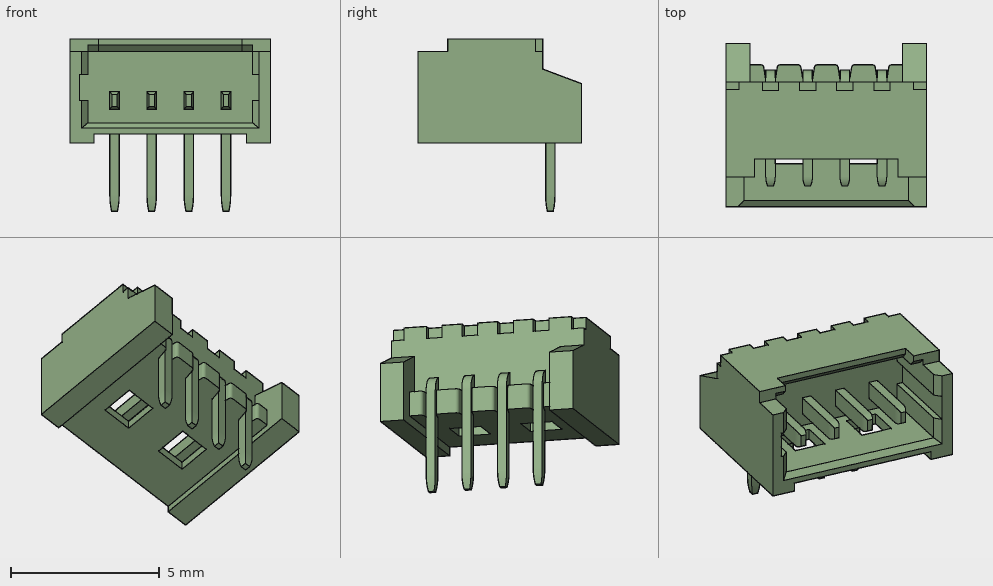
import cadquery as cq


WIDTH = 6.75
DEPTH = 5.5
HEIGHT = 3.5
HALF_WIDTH = WIDTH / 2
ROOF_FRONT_Y = 1.0
ROOF_BACK_Y = 4.2
ROOF_UNDERSIDE_Z = 3.08
WING_TOP_FRONT_Z = 2.49
WING_TOP_BACK_Z = 2.0
WING_INNER_X = 2.56
STANDOFF = 0.3

CAVITY_HALF_WIDTH = 2.77
CAVITY_BACK_Y = 2.98
CAVITY_FLOOR_Z = 0.68
LEAD_IN_SIDE = 0.21
LEAD_IN_FLOOR = 0.18
LEAD_IN_ROOF = 0.21
WINDOW_HALF_WIDTH = 2.41
WINDOW_BACK_Y = 1.61
KEYWAY_BOTTOM_Z = 1.43
KEYWAY_TOP_Z = 2.3
LEFT_KEYWAY_X = -3.06
RIGHT_KEYWAY_X = CAVITY_HALF_WIDTH + LEAD_IN_SIDE

OPENING_WIDTH = 1.1
OPENING_FRONT_Y = 1.46
OPENING_BACK_Y = 2.63

PIN_COUNT = 4
PITCH = 1.25
PIN_THICKNESS = 0.32
HALF_PIN = PIN_THICKNESS / 2
PIN_BOTTOM_Z = 1.13
PIN_TOP_Z = 1.73
PIN_HEIGHT = PIN_TOP_Z - PIN_BOTTOM_Z
PIN_FRONT_Y = 0.7
PIN_NOSE_LENGTH = 0.3
NOSE_INSET_X = 0.07
NOSE_INSET_Z = 0.1
LEG_BACK_Y = 4.61
LEG_FRONT_Y = LEG_BACK_Y - PIN_THICKNESS
LEG_BOTTOM_Z = -2.3
LEG_TIP_LENGTH = 0.52
LEG_TIP_INSET = 0.06
BEND_RADIUS = 0.58

SHELF_BACK_Y = 4.79
SHELF_TOP_Z = PIN_BOTTOM_Z
SLOT_MOUTH_HALF_WIDTH = 0.22
SLOT_MOUTH_RADIUS = 0.12
SLOT_ROOT_Y = 4.3
ROOF_NOTCH_WIDTH = 0.55
ROOF_NOTCH_DEPTH = 0.29
CORNER_NOTCH_WIDTH = 0.44
CORNER_NOTCH_DEPTH = 0.25

OUTER_PIN_X = PITCH * (PIN_COUNT - 1) / 2
PIN_XS = [PITCH * i - OUTER_PIN_X for i in range(PIN_COUNT)]
OPENING_X = OUTER_PIN_X - PITCH / 2


def block(x_range, y_range, z_range):
    """Box spanning the given ranges."""
    (x0, x1), (y0, y1), (z0, z1) = x_range, y_range, z_range
    return cq.Workplane("XY").box(x1 - x0, y1 - y0, z1 - z0, centered=False).translate((x0, y0, z0))


def side_prism(points, half_width):
    """Prism with a (y, z) outline, centred on x = 0."""
    return cq.Workplane("YZ").polyline(points).close().extrude(half_width, both=True)


def make_shell():
    """Outer housing: side profile, board standoffs and the gap between the rear wings."""
    profile = [
        (0, 0),
        (DEPTH, 0),
        (DEPTH, WING_TOP_BACK_Z),
        (ROOF_BACK_Y, WING_TOP_FRONT_Z),
        (ROOF_BACK_Y, HEIGHT),
        (ROOF_FRONT_Y, HEIGHT),
        (ROOF_FRONT_Y, ROOF_UNDERSIDE_Z),
        (0, ROOF_UNDERSIDE_Z),
    ]
    between_feet = (-WING_INNER_X, WING_INNER_X)
    shell = side_prism(profile, HALF_WIDTH)
    shell = shell.cut(block(between_feet, (0, DEPTH), (0, STANDOFF)))
    return shell.cut(block(between_feet, (ROOF_BACK_Y, DEPTH), (0, HEIGHT)))


def make_cavity():
    """Mating cavity with its flared mouth and the two unequal keyways."""
    inner_x = (-CAVITY_HALF_WIDTH, CAVITY_HALF_WIDTH)
    cavity = block(inner_x, (0, CAVITY_BACK_Y), (CAVITY_FLOOR_Z, ROOF_UNDERSIDE_Z))
    inner_height = ROOF_UNDERSIDE_Z - CAVITY_FLOOR_Z
    flare = (
        cq.Workplane("XZ", origin=(0, 0, ROOF_UNDERSIDE_Z))
        .rect(2 * (CAVITY_HALF_WIDTH + LEAD_IN_SIDE), 2 * (inner_height + LEAD_IN_FLOOR))
        .workplane(offset=-LEAD_IN_SIDE)
        .rect(2 * CAVITY_HALF_WIDTH, 2 * inner_height)
        .loft(ruled=True)
    )
    flare = flare.intersect(block((-HALF_WIDTH, HALF_WIDTH), (0, DEPTH), (0, ROOF_UNDERSIDE_Z)))
    keyways = block(
        (LEFT_KEYWAY_X, RIGHT_KEYWAY_X), (0, CAVITY_BACK_Y), (KEYWAY_BOTTOM_Z, KEYWAY_TOP_Z)
    )
    return cavity.union(flare).union(keyways)


def roof_lead_in(edge_y, half_width):
    """Wedge that chamfers the underside of a roof edge at edge_y."""
    points = [
        (edge_y, ROOF_UNDERSIDE_Z),
        (edge_y + LEAD_IN_ROOF, ROOF_UNDERSIDE_Z),
        (edge_y, ROOF_UNDERSIDE_Z + LEAD_IN_ROOF),
    ]
    return side_prism(points, half_width)


def make_window():
    """Notch in the roof's front edge, with the lead-in chamfers of both edges."""
    window = block(
        (-WINDOW_HALF_WIDTH, WINDOW_HALF_WIDTH),
        (ROOF_FRONT_Y, WINDOW_BACK_Y),
        (ROOF_UNDERSIDE_Z, HEIGHT),
    )
    window = window.union(roof_lead_in(ROOF_FRONT_Y, CAVITY_HALF_WIDTH))
    return window.union(roof_lead_in(WINDOW_BACK_Y, WINDOW_HALF_WIDTH))


def floor_opening(x):
    """Through opening in the cavity floor."""
    x_range = (x - OPENING_WIDTH / 2, x + OPENING_WIDTH / 2)
    return block(x_range, (OPENING_FRONT_Y, OPENING_BACK_Y), (0, CAVITY_FLOOR_Z))


def roof_notch(x, width, depth):
    """Notch through the roof thickness, open at its rear edge."""
    x_range = (x - width / 2, x + width / 2)
    return block(x_range, (ROOF_BACK_Y - depth, ROOF_BACK_Y), (ROOF_UNDERSIDE_Z, HEIGHT))


def leg_slot(x):
    """Tapered slot in the rear shelf with a rounded mouth, narrowing to the pin."""
    mouth_y = SHELF_BACK_Y - SLOT_MOUTH_RADIUS
    mouth_x = SLOT_MOUTH_HALF_WIDTH + SLOT_MOUTH_RADIUS
    return (
        cq.Workplane("XY", origin=(x, 0, 0))
        .moveTo(-HALF_PIN, SLOT_ROOT_Y)
        .lineTo(HALF_PIN, SLOT_ROOT_Y)
        .lineTo(SLOT_MOUTH_HALF_WIDTH, mouth_y)
        .radiusArc((mouth_x, SHELF_BACK_Y), SLOT_MOUTH_RADIUS)
        .lineTo(-mouth_x, SHELF_BACK_Y)
        .radiusArc((-SLOT_MOUTH_HALF_WIDTH, mouth_y), SLOT_MOUTH_RADIUS)
        .close()
        .extrude(SHELF_TOP_Z)
    )


def make_shelf():
    """Shelf between the rear wings, slotted for the legs."""
    shelf = block(
        (-WING_INNER_X, WING_INNER_X), (ROOF_BACK_Y, SHELF_BACK_Y), (STANDOFF, SHELF_TOP_Z)
    )
    for x in PIN_XS:
        shelf = shelf.cut(leg_slot(x))
    return shelf


def tapered_outline(plane, half_width, length, inset, tip_length):
    """Bar outline along the local y axis whose end at y = 0 narrows in two arcs."""
    arc_radius = (inset**2 + tip_length**2) / (2 * inset)
    tip = half_width - inset
    return (
        plane.moveTo(-half_width, length)
        .lineTo(-half_width, tip_length)
        .radiusArc((-tip, 0), -arc_radius)
        .lineTo(tip, 0)
        .radiusArc((half_width, tip_length), -arc_radius)
        .lineTo(half_width, length)
        .close()
    )


def tapered_bar(half_width, half_height, length, width_inset, height_inset, tip_length):
    """Bar along +z from a tip at z = 0, narrowing in x and in y."""
    front = tapered_outline(cq.Workplane("XZ"), half_width, length, width_inset, tip_length)
    side = tapered_outline(
        cq.Workplane(cq.Plane((0, 0, 0), xDir=(0, 1, 0), normal=(1, 0, 0))),
        half_height, length, height_inset, tip_length,
    )
    return front.extrude(half_height, both=True).intersect(side.extrude(half_width, both=True))


def make_pin():
    """Right-angle pin at x = 0: contact bar, downward leg and rounded outer bend."""
    contact = tapered_bar(
        HALF_PIN, PIN_HEIGHT / 2, LEG_BACK_Y - PIN_FRONT_Y, NOSE_INSET_X, NOSE_INSET_Z, PIN_NOSE_LENGTH
    )
    contact = contact.rotate((0, 0, 0), (1, 0, 0), -90)
    contact = contact.translate((0, PIN_FRONT_Y, PIN_BOTTOM_Z + PIN_HEIGHT / 2))
    contact = contact.edges("|X and >Y and >Z").fillet(BEND_RADIUS)
    leg = tapered_bar(
        HALF_PIN, HALF_PIN, PIN_BOTTOM_Z - LEG_BOTTOM_Z, LEG_TIP_INSET, LEG_TIP_INSET, LEG_TIP_LENGTH
    )
    return contact.union(leg.translate((0, LEG_FRONT_Y + HALF_PIN, LEG_BOTTOM_Z))).clean()


def make_housing():
    """Complete plastic housing."""
    housing = make_shell().cut(make_cavity()).cut(make_window())
    for side in (-1, 1):
        housing = housing.cut(floor_opening(side * OPENING_X))
        corner_x = side * (HALF_WIDTH - CORNER_NOTCH_WIDTH / 2)
        housing = housing.cut(roof_notch(corner_x, CORNER_NOTCH_WIDTH, CORNER_NOTCH_DEPTH))
    for x in PIN_XS:
        housing = housing.cut(roof_notch(x, ROOF_NOTCH_WIDTH, ROOF_NOTCH_DEPTH))
    return housing.union(make_shelf())


result = make_housing()
pin = make_pin()
for pin_x in PIN_XS:
    result = result.union(pin.translate((pin_x, 0, 0)))